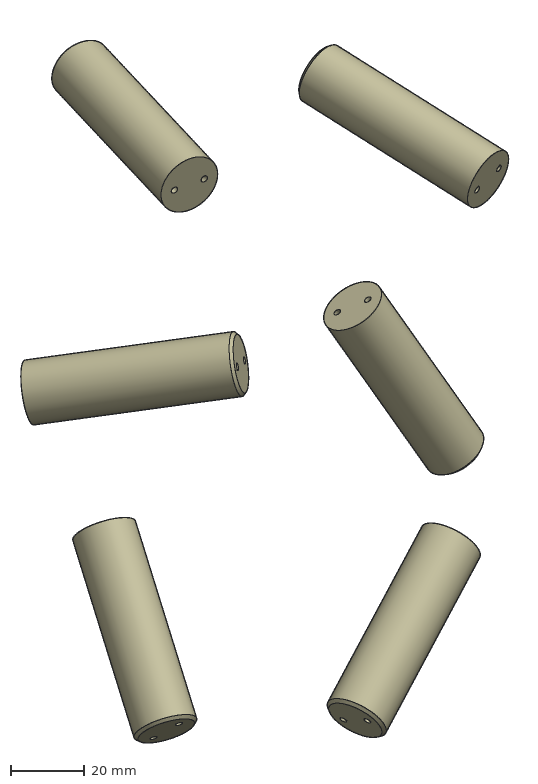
import cadquery as cq
import math

length = 60.0
diameter = 18.0
chamfer = 0.9

channel_diameter = 2.0
channel_circle_radius = 4.75
channel_start_angle = 40.0
helix_angle = 30.0

pitch = math.pi * diameter / math.tan(math.radians(helix_angle))
twist = 360 * length / pitch


def rod_body():
    """Cylinder along X with its -X end edge chamfered."""
    cylinder = cq.Workplane("YZ").circle(diameter / 2).extrude(length)
    return cylinder.faces("<X").edges().chamfer(chamfer)


def coolant_channel(start_angle):
    """Round section twisted about the rod axis over the full length."""
    y = -channel_circle_radius * math.cos(math.radians(start_angle))
    z = channel_circle_radius * math.sin(math.radians(start_angle))
    section = cq.Workplane("YZ").center(y, z).circle(channel_diameter / 2)
    return section.center(-y, -z).twistExtrude(length, twist)


result = rod_body()
for opposite in (0, 180):
    result = result.cut(coolant_channel(channel_start_angle + opposite))